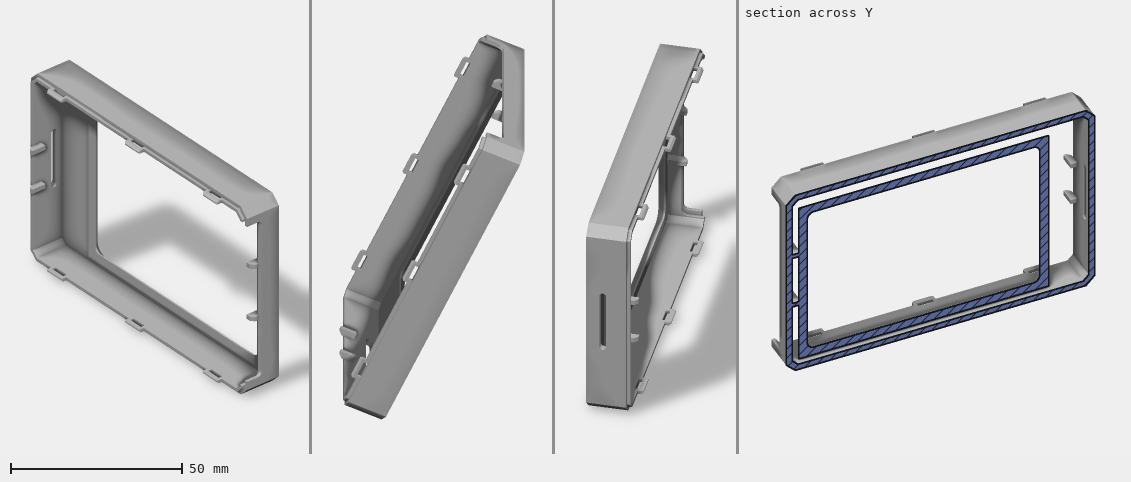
import cadquery as cq
import math


WIDTH = 100.0
HEIGHT = 65.0
BODY_DEPTH = 12.0
CORNER_CHAMFER = 3.0
WALL = 2.1
BACK_THICKNESS = 2.0

LIP_INSET = 1.05
LIP_HEIGHT = 1.0
LIP_FRONT = BODY_DEPTH + LIP_HEIGHT

OPENING_WIDTH = 75.0
OPENING_HEIGHT = 50.0
OPENING_X = 5.5
OPENING_Z = -0.65
OPENING_RADIUS = 2.0
PAD_MARGIN = 3.0
PAD_HEIGHT = 0.5
OPENING_BEVEL = BACK_THICKNESS

LOOP_POSITIONS = (-36.0, 0.0, 36.0)
LOOP_WIDTH = 7.0
LOOP_TIP = 14.8
LOOP_TIP_CHAMFER = 0.6
LOOP_END_CHAMFER = 0.4
LOOP_HOLE_WIDTH = 5.0
LOOP_HOLE_HEIGHT = 1.3

SLOT_LENGTH = 20.0
SLOT_WIDTH = 2.0
SLOT_DEPTH = 5.0

PEG_HEIGHT = 1.5
PEG_NOSE = 1.1
HOOK_Z = (6.65, -6.65)
HOOK_REACH = 2.1
HOOK_START = 10.0
HOOK_TIP = 15.0
RIB_Z = (10.0, -8.0)
RIB_REACH = 2.7
RIB_TIP = 8.3

NOTCH_HALF_HEIGHT = 26.75
NOTCH_FLOOR = 6.5
NOTCH_RADIUS = 1.5
NOTCH_STEP_Z = 1.5
NOTCH_STEP_DEPTH = 0.3
NOTCH_STEP_RADIUS = 2.0


def front_plane(depth):
    """Sketch plane at a depth, with local axes X and Z and its normal along -Y."""
    return cq.Workplane("XZ").workplane(offset=depth)


def box(x_range, depth_range, z_range):
    """Block spanning the given X, depth and Z ranges."""
    sizes = [abs(r[1] - r[0]) for r in (x_range, depth_range, z_range)]
    corner = (min(x_range), -max(depth_range), min(z_range))
    return cq.Workplane("XY").box(*sizes, centered=False).translate(corner)


def inset_prism(inset, start, end):
    """Chamfered outline, moved inward by an even inset and extruded between two depths."""
    corner_leg = CORNER_CHAMFER - inset * (2 - math.sqrt(2))
    return (
        front_plane(start)
        .rect(WIDTH - 2 * inset, HEIGHT - 2 * inset)
        .extrude(end - start)
        .edges("|Y")
        .chamfer(corner_leg)
    )


def make_shell():
    body = inset_prism(0, 0, BODY_DEPTH)
    lip = inset_prism(LIP_INSET, BODY_DEPTH, LIP_FRONT)
    cavity = inset_prism(WALL, BACK_THICKNESS, LIP_FRONT)
    return body.union(lip).cut(cavity)


def opening_block(start, depth, margin):
    """Plain block over the screen opening, wider by a margin on every side."""
    return (
        front_plane(start)
        .center(OPENING_X, OPENING_Z)
        .rect(OPENING_WIDTH + 2 * margin, OPENING_HEIGHT + 2 * margin)
        .extrude(depth)
    )


def add_screen_opening(part):
    pad = opening_block(BACK_THICKNESS, PAD_HEIGHT, PAD_MARGIN)
    opening = opening_block(0, BACK_THICKNESS + PAD_HEIGHT, 0).edges("|Y").fillet(OPENING_RADIUS)
    part = part.union(pad).cut(opening)
    back_rim = part.faces(">Y").wires(cq.selectors.LengthNthSelector(0)).edges()
    return back_rim.chamfer(OPENING_BEVEL)


def cut_side_slot(part):
    slot = (
        cq.Workplane("YZ", origin=(-WIDTH / 2, -SLOT_DEPTH, 0))
        .slot2D(SLOT_LENGTH, SLOT_WIDTH, 90)
        .extrude(WALL)
    )
    return part.cut(slot)


def cut_rim_notch(part):
    outer_face = WIDTH / 2
    inner_face = outer_face - WALL
    lip_face = outer_face - LIP_INSET
    layers = (
        (outer_face, NOTCH_HALF_HEIGHT, NOTCH_FLOOR, NOTCH_RADIUS),
        (
            lip_face,
            NOTCH_HALF_HEIGHT + NOTCH_STEP_Z,
            NOTCH_FLOOR - NOTCH_STEP_DEPTH,
            NOTCH_STEP_RADIUS,
        ),
    )
    for layer_face, half_height, floor, radius in layers:
        cutter = box((inner_face, layer_face), (floor, LIP_FRONT), (-half_height, half_height))
        part = part.cut(cutter.edges("|X and >Y").fillet(radius))
    return part


def make_loop():
    """Snap loop for the top lip, centred on X = 0."""
    outer_z = HEIGHT / 2 - LIP_INSET
    inner_z = HEIGHT / 2 - WALL
    loop = box((-LOOP_WIDTH / 2, LOOP_WIDTH / 2), (BODY_DEPTH, LOOP_TIP), (inner_z, outer_z))
    loop = loop.edges("|Z and <Y").chamfer(LOOP_END_CHAMFER)
    return loop.edges("|X and <Y and >Z").chamfer(LOOP_TIP_CHAMFER)


def make_loop_hole():
    return box(
        (-LOOP_HOLE_WIDTH / 2, LOOP_HOLE_WIDTH / 2),
        (BODY_DEPTH, BODY_DEPTH + LOOP_HOLE_HEIGHT),
        (HEIGHT / 2 - WALL, HEIGHT / 2),
    )


def add_snap_loops(part):
    top_loop = make_loop()
    top_hole = make_loop_hole()
    bottom_loop = top_loop.mirror("XY")
    bottom_hole = top_hole.mirror("XY")
    for x in LOOP_POSITIONS:
        for loop, hole in ((top_loop, top_hole), (bottom_loop, bottom_hole)):
            part = part.union(loop.translate((x, 0, 0)))
            part = part.cut(hole.translate((x, 0, 0)))
    return part


def make_peg(side, reach, start, tip):
    """Peg on the left (side = -1) or right (side = 1) wall, its nose sloped on the wall side."""
    wall_x = side * (WIDTH / 2 - WALL)
    peg = box((wall_x, wall_x - side * reach), (start, tip), (-PEG_HEIGHT / 2, PEG_HEIGHT / 2))
    wall_edge = ">X" if side > 0 else "<X"
    return peg.edges("|Z and <Y and " + wall_edge).chamfer(PEG_NOSE)


def add_pegs(part):
    hook = make_peg(-1, HOOK_REACH, HOOK_START, HOOK_TIP)
    rib = make_peg(1, RIB_REACH, BACK_THICKNESS, RIB_TIP)
    for peg, heights in ((hook, HOOK_Z), (rib, RIB_Z)):
        for z in heights:
            part = part.union(peg.translate((0, 0, z)))
    return part


result = make_shell()
result = add_screen_opening(result)
result = cut_side_slot(result)
result = add_snap_loops(result)
result = add_pegs(result)
result = cut_rim_notch(result)